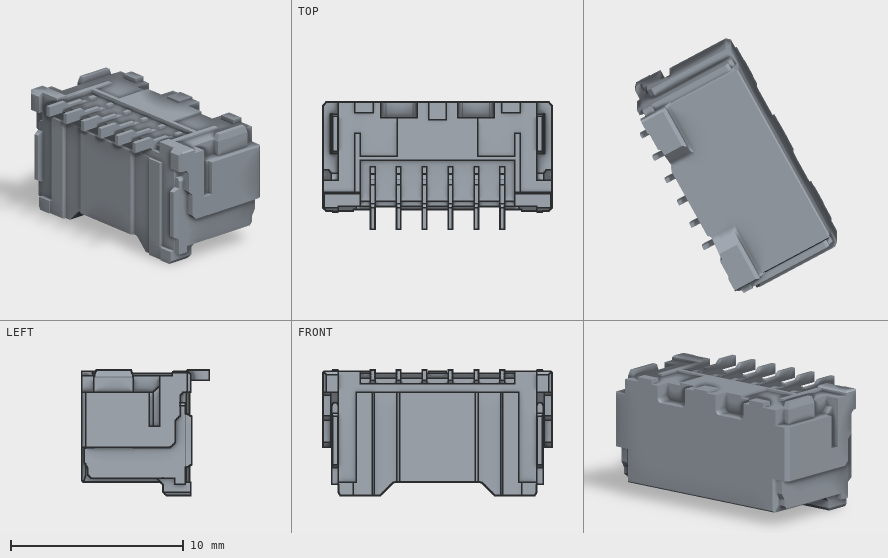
import cadquery as cq


body_half_width = 5.75
body_front = 6.05
body_bottom = 0.78
body_top = 6.94
back_edge_chamfer = 0.23
side_draft_width = 0.12
side_draft_height = 0.4
bottom_edge_chamfer = 0.09

rib_top = 7.1
pad_top = 7.22
deck_half_width = 2.34
cross_rib_back = 3.14
side_rib_inner = 4.47
side_rib_outer = 4.8
side_rib_back = 1.81
center_pad_half_width = 0.52
center_pad_depth = 1.04
side_pad_inner = 3.74
side_pad_depth = 0.63

recess_back = 3.39
recess_floor = 6.8
ledge_back = 5.77
ledge_top = 6.5

notch_inner = 1.17
notch_outer = 3.29
notch_depth = 0.9
notch_floor = 5.95
notch_radius = 0.28

plate_front = 6.25
plate_half_width = 4.72
plate_top = 6.01
groove_face = 6.09
groove_inner = 2.18
groove_inner_foot = 2.35
groove_outer_foot = 3.67
groove_outer = 3.78

leg_back = 4.71
leg_brace_back = 4.34
leg_brace_top = 1.02
leg_brace_bottom = 0.64
leg_heel_chamfer = 0.21
leg_side_chamfer_width = 0.1
leg_side_chamfer_height = 0.19
gap_half_width = 3.32
gap_corner_radius = 0.36
foot_inner = 4.88
foot_front = 6.33

wing_outer = 6.65
wing_bottom = 2.8
wing_top = 6.01
wing_wall_back = 4.54
wing_corner_chamfer = 0.2
wing_front_low = 5.15
wing_step = 0.28
wing_step_low = wing_bottom + wing_step
wing_step_high = 4.64
wing_front_middle = wing_front_low + wing_step
wing_front_high = wing_front_middle + wing_step
wing_lip = 0.2
pocket_outer = 6.2
slot_back = 3.92
slot_floor = 4.02
slot_inner = 6.16
slot_bevel_width = 0.17
slot_bevel_depth = 0.21
ramp_height = 0.36

block_back = 5.24
block_chamfer = 0.2
block_small_chamfer = 0.09

panel_outer = 6.15
panel_front = 6.01
panel_bottom = 1.02
panel_back = 0.13
panel_back_low = 0.35
panel_slope_top = 1.95
panel_slope_bottom = 1.58
panel_heel_chamfer = 0.19
panel_tab_back = 5.4
panel_tab_bottom = 0.65
panel_top = 5.39
panel_top_low = 2.77
panel_bevel_height = 0.17
panel_outer_bevel = 0.1
panel_inner_bevel = 0.08
latch_tip = 6.38
latch_bottom = 1.61
latch_top = 4.79
latch_slope_height = 0.19

clip_back = 0.7
clip_front = 2.99
clip_shoulder = 6.9
top_height = 7.3
taper_inner = 0.03
taper_outer = 0.07
clip_end_taper = 0.13

pin_count = 6
pin_pitch = 1.5
pin_width = 0.27
pin_back = 3.75
bead_front = 4.15
bead_slope = 0.04
bead_top = 7.01
neck_bottom = 6.81
neck_top = 6.9
neck_ramp_front = 4.5
contact_bar_start = 4.81
contact_bar_top = 7.05
tail_ramp_front = 6.15
tail_underside_back = 6.22
pin_tip = 7.4
pin_tail_bottom = 6.69


def box(x_range, depth_range, z_range):
    """Box between two x values, two depths and two heights."""
    (x0, x1), (d0, d1), (z0, z1) = x_range, depth_range, z_range
    return cq.Workplane("XY").box(x1 - x0, d1 - d0, z1 - z0, centered=False).translate((x0, -d1, z0))


def side_prism(points, x0, x1):
    """Extrude a (depth, z) outline along X."""
    outline = [(-depth, z) for depth, z in points]
    return cq.Workplane("YZ").workplane(offset=x0).polyline(outline).close().extrude(x1 - x0)


def front_prism(points, depth0, depth1):
    """Extrude an (x, z) outline forward from depth0 to depth1."""
    return cq.Workplane("XZ").workplane(offset=depth0).polyline(points).close().extrude(depth1 - depth0)


def plan_prism(points, z0, z1):
    """Extrude an (x, depth) outline upward."""
    outline = [(x, -depth) for x, depth in points]
    return cq.Workplane("XY").workplane(offset=z0).polyline(outline).close().extrude(z1 - z0)


def rectangle(x0, x1, v0, v1):
    """Corners of a rectangle in a plane that contains the x axis."""
    return [(x0, v0), (x1, v0), (x1, v1), (x0, v1)]


def tapered(plane, base, tip, start, end):
    """Loft between two outlines on parallel planes."""
    lower = cq.Workplane(plane).workplane(offset=start).polyline(base).close()
    return lower.workplane(offset=end - start).polyline(tip).close().loft(ruled=True)


def both_sides(half):
    """Join a feature with its mirror image across the YZ plane."""
    return half.union(half.mirror("YZ"))


def main_body():
    across = (-body_half_width, body_half_width)
    depth = (0, body_front)
    lower = box(across, depth, (body_bottom, wing_bottom))
    lower = lower.edges("|Z and >Y").chamfer(back_edge_chamfer)
    lower = lower.faces("<Z").edges(">Y").chamfer(bottom_edge_chamfer)
    draft = front_prism(
        [
            (body_half_width - side_draft_width, body_bottom),
            (body_half_width, body_bottom),
            (body_half_width, body_bottom + side_draft_height),
        ],
        0,
        leg_back,
    )
    return lower.cut(both_sides(draft)).union(box(across, depth, (wing_bottom, body_top)))


def top_ribs():
    heights = (body_top, rib_top)
    deck = box((-deck_half_width, deck_half_width), (0, recess_back), heights)
    cross_rib = box((-side_rib_inner, side_rib_inner), (cross_rib_back, recess_back), heights)
    side_rib = box((side_rib_inner, side_rib_outer), (side_rib_back, block_back), heights)
    pad_heights = (body_top, pad_top)
    center_pad = box((-center_pad_half_width, center_pad_half_width), (0, center_pad_depth), pad_heights)
    side_pad = box((side_pad_inner, side_rib_outer), (0, side_pad_depth), pad_heights)
    return deck.union(cross_rib).union(center_pad).union(both_sides(side_rib.union(side_pad)))


def pin_recess():
    across = (-side_rib_inner, side_rib_inner)
    floor = box(across, (recess_back, body_front), (recess_floor, pad_top))
    ledge = box(across, (ledge_back, body_front), (ledge_top, pad_top))
    return floor.union(ledge)


def back_notch():
    notch = box((notch_inner, notch_outer), (0, notch_depth), (notch_floor, top_height))
    return notch.faces("<Z").edges("|Y").fillet(notch_radius)


def front_plate():
    half_outline = [
        (plate_half_width, plate_front),
        (groove_outer, plate_front),
        (groove_outer_foot, groove_face),
        (groove_inner_foot, groove_face),
        (groove_inner, plate_front),
    ]
    mirrored = [(-x, depth) for x, depth in reversed(half_outline)]
    back_corners = [(-plate_half_width, body_front), (plate_half_width, body_front)]
    return plan_prism(half_outline + mirrored + back_corners, 0, plate_top)


def leg():
    leg_profile = [
        (body_front, 0),
        (leg_back + leg_heel_chamfer, 0),
        (leg_back, leg_heel_chamfer),
        (leg_back, leg_brace_bottom),
        (leg_brace_back, leg_brace_top),
        (body_front, leg_brace_top),
    ]
    post = side_prism(leg_profile, 0, body_half_width)
    toe = box((plate_half_width, body_half_width), (body_front, plate_front), (0, body_bottom))
    foot = box((foot_inner, body_half_width), (body_front, foot_front), (0, body_bottom))
    corner = front_prism(
        [
            (body_half_width - leg_side_chamfer_width, 0),
            (body_half_width, 0),
            (body_half_width, leg_side_chamfer_height),
        ],
        leg_back,
        foot_front,
    )
    return post.union(toe).union(foot).cut(corner)


def leg_gap():
    """Opening between the legs, with 45 degree flanks and rounded upper corners."""
    top_half_width = gap_half_width - body_bottom
    outline = [
        (-gap_half_width, 0),
        (gap_half_width, 0),
        (top_half_width, body_bottom),
        (-top_half_width, body_bottom),
    ]
    gap = front_prism(outline, leg_brace_back, plate_front)
    return gap.faces(">Z").edges("|Y").fillet(gap_corner_radius)


def wing():
    profile = [
        (0, wing_bottom),
        (wing_front_low, wing_bottom),
        (wing_front_middle, wing_step_low),
        (wing_front_middle, wing_step_high - wing_step),
        (wing_front_high, wing_step_high),
        (wing_front_high, wing_top - wing_lip),
        (wing_front_high + wing_lip, wing_top),
        (wing_front_high + wing_lip, body_top),
        (wing_wall_back, body_top),
        (wing_wall_back, wing_top),
        (0, wing_top),
    ]
    plate = side_prism(profile, body_half_width, wing_outer)
    corner = plan_prism(
        [
            (wing_outer - wing_corner_chamfer, 0),
            (wing_outer, 0),
            (wing_outer, back_edge_chamfer),
        ],
        wing_bottom,
        wing_top,
    )
    slot = plan_prism(
        [
            (wing_outer, slot_back),
            (slot_inner + slot_bevel_width, slot_back),
            (slot_inner, slot_back + slot_bevel_depth),
            (slot_inner, wing_wall_back),
            (wing_outer, wing_wall_back),
        ],
        slot_floor,
        wing_top,
    )
    ramp = side_prism(
        [
            (slot_back + slot_bevel_depth, wing_top),
            (wing_wall_back, wing_top),
            (wing_wall_back, wing_top + ramp_height),
        ],
        body_half_width,
        slot_inner,
    )
    pocket = box((body_half_width, pocket_outer), (wing_front_low, body_front), (wing_bottom, wing_top))
    clip_slot = box((body_half_width, pocket_outer), (clip_back, clip_front), (wing_bottom, wing_top))
    return plate.cut(corner).cut(slot).cut(pocket).cut(clip_slot).union(ramp)


def corner_block():
    """Upper front block: the plan, side and front outlines intersected."""
    plan = plan_prism(
        [
            (side_rib_inner, block_back),
            (wing_outer, block_back),
            (wing_outer, foot_front - block_chamfer),
            (wing_outer - block_chamfer, foot_front),
            (body_half_width, foot_front),
            (body_half_width, body_front),
            (side_rib_inner, body_front),
        ],
        wing_top,
        pad_top,
    )
    side = side_prism(
        [
            (block_back, wing_top),
            (foot_front, wing_top),
            (foot_front, pad_top - block_chamfer),
            (foot_front - block_chamfer, pad_top),
            (block_back + block_small_chamfer, pad_top),
            (block_back, pad_top - block_small_chamfer),
        ],
        side_rib_inner,
        wing_outer,
    )
    front = front_prism(
        [
            (side_rib_inner, wing_top),
            (wing_outer, wing_top),
            (wing_outer, pad_top - block_small_chamfer),
            (wing_outer - block_small_chamfer, pad_top),
            (side_rib_inner, pad_top),
        ],
        block_back,
        foot_front,
    )
    return plan.intersect(side).intersect(front)


def side_panel():
    profile = [
        (panel_back, panel_top_low),
        (panel_back, panel_slope_top),
        (panel_back_low, panel_slope_bottom),
        (panel_back_low, panel_bottom + panel_heel_chamfer),
        (panel_back_low + panel_heel_chamfer, panel_bottom),
        (panel_tab_back, panel_bottom),
        (panel_tab_back, panel_tab_bottom),
        (panel_front, panel_tab_bottom),
        (panel_front, panel_top),
        (wing_front_low, panel_top),
        (wing_front_low, panel_top_low),
        (clip_front, panel_top_low),
        (clip_front, wing_bottom),
        (clip_back, wing_bottom),
        (clip_back, panel_top_low),
    ]
    panel = side_prism(profile, body_half_width, panel_outer)
    blade_outline = [
        (body_half_width, panel_tab_bottom),
        (panel_outer, panel_tab_bottom),
        (panel_outer, panel_top - panel_bevel_height),
        (panel_outer - panel_outer_bevel, panel_top),
        (body_half_width + panel_inner_bevel, panel_top),
        (body_half_width, panel_top - panel_bevel_height),
    ]
    blade = front_prism(blade_outline, 0, panel_front)
    latch = tapered(
        "XZ",
        rectangle(body_half_width, panel_outer, latch_bottom, latch_top),
        rectangle(
            body_half_width + taper_inner,
            panel_outer - taper_outer,
            latch_bottom + latch_slope_height,
            latch_top - latch_slope_height,
        ),
        panel_front,
        latch_tip,
    )
    return panel.intersect(blade).union(latch)


def clip_tab():
    """Upright tongue of the side panel, passing through the wing to a tapered crown."""
    base = box((body_half_width, panel_outer), (clip_back, clip_front), (wing_bottom, clip_shoulder))
    crown = tapered(
        "XY",
        rectangle(body_half_width, panel_outer, -clip_front, -clip_back),
        rectangle(
            body_half_width + taper_inner,
            panel_outer - taper_outer,
            -clip_front + clip_end_taper,
            -clip_back - clip_end_taper,
        ),
        clip_shoulder,
        top_height,
    )
    return base.union(crown)


def pin(x_center):
    """Contact with a bead at its back end and a raised tail beyond the body."""
    profile = [
        (pin_back, ledge_top),
        (pin_back, bead_top),
        (bead_front, bead_top),
        (bead_front + bead_slope, neck_bottom),
        (neck_ramp_front, neck_top),
        (contact_bar_start, neck_top),
        (contact_bar_start, contact_bar_top),
        (tail_ramp_front - (top_height - contact_bar_top), contact_bar_top),
        (tail_ramp_front, top_height),
        (pin_tip, top_height),
        (pin_tip, pin_tail_bottom),
        (tail_underside_back, pin_tail_bottom),
        (body_front, ledge_top),
    ]
    return side_prism(profile, x_center - pin_width / 2, x_center + pin_width / 2)


result = main_body().union(top_ribs()).cut(pin_recess()).cut(both_sides(back_notch()))
result = result.union(both_sides(leg())).union(front_plate()).cut(leg_gap())
result = result.union(both_sides(wing()))
result = result.union(both_sides(corner_block()))
result = result.union(both_sides(side_panel()))
result = result.union(both_sides(clip_tab()))
for index in range(pin_count):
    result = result.union(pin((index - (pin_count - 1) / 2) * pin_pitch))